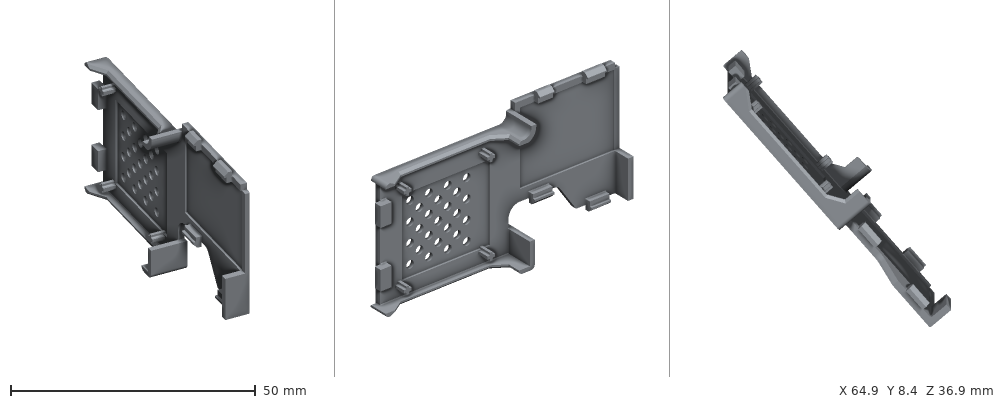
import cadquery as cq
import math

LENGTH = 64.9
DEPTH = 8.4
HEIGHT = 36.9

PLATE = 1.5
PLATE_LEFT = 1.4
NECK_X = 35.3
WING_LEFT = 37.05
WING_RIGHT = LENGTH - PLATE
WING_TOP = 35.75
WING_BOTTOM = 5.1
NECK_BOTTOM = 12.15
NECK_FILLET = 3.0
RAMP_FILLET = 2.0
RAMP_TOP_X = 48.4
RAMP_FOOT_X = 53.15
FOOT = 0.2
BACK_CHAMFER = 0.25

SIDE_TOP = 31.3
SIDE = 1.05
TURN = 1.3
TIP_DEPTH = 5.0
WAIST_DEPTH = 2.9
TIP_END_X = 2.4
WAIST_LEFT = 5.7
WAIST_RIGHT = 29.3
DEEP_X = 32.45
RIM_BEVEL = 0.6
END_FILLET = 1.0
BEND_RADIUS = 1.95
BEND_X = 33.75
BEND_Z = SIDE_TOP + BEND_RADIUS
BEND_TOP = 33.8
CORNER_X = 36.6
CORNER_TOP = 6.8

END_WALL_DEPTH = 5.7
END_WALL_TOP = 15.05
STRIP = 1.2
STRIP_TOP = 34.2

RECESS = 0.5
GRILLE_LEFT, GRILLE_RIGHT = 7.15, 30.4
GRILLE_BOTTOM, GRILLE_TOP = 4.7, 24.85
WINDOW_LEFT = 38.35

HOLE_DIAMETER = 2.0
HOLE_PITCH = 5.0
HOLE_X, HOLE_Z = 9.75, 7.4
HOLE_ROWS = 7
HOLES_PER_LONG_ROW = 4

POST_SPAN = 2.0
POST_ARM = 0.7
POST_FILLET = 0.25
POST_DEPTH = 4.35
POST_X = (6.35, 28.4)
POST_Z = (4.0, 27.25)

TAB_LENGTH = 2.9
TAB_WIDTH = 5.05
TAB_DEPTH = 3.4
TAB_BOTTOMS = (5.6, 20.5)

CLIP_HEIGHT = 2.5
CLIP_STEM_DEPTH = 2.8
CLIP_DEPTH = 3.4
CLIP_TOP_DEPTH = 2.4
TOP_STEM_END = HEIGHT - CLIP_HEIGHT

CLIPS = (
    (42.05, 45.95, TOP_STEM_END, 1.35, 0.3, 1),
    (54.7, 59.7, TOP_STEM_END, 1.35, 0.3, 1),
    (40.7, 45.9, 13.55, 1.05, 0.5, -1),
    (55.7, 60.9, 6.5, 1.25, 0.5, -1),
)


def rise(sketch, start, end):
    """Extrude an XZ outline from depth start to depth end."""
    return sketch.extrude(end - start).translate((0, -start, 0))


def rectangle(x0, x1, z0, z1):
    return cq.Workplane("XZ").center((x0 + x1) / 2, (z0 + z1) / 2).rect(x1 - x0, z1 - z0)


def block(x0, x1, z0, z1, start, end):
    return rise(rectangle(x0, x1, z0, z1), start, end)


def foot(outline):
    """Chamfered foot around an XZ outline standing on the plate, trimmed at the plate edge."""
    skirt = outline.extrude(-FOOT, taper=-45).translate((0, -PLATE - FOOT, 0))
    return skirt.intersect(rise(plate_outline(), PLATE, PLATE + FOOT))


def box_foot(x0, x1, z0, z1):
    return foot(rectangle(x0, x1, z0, z1))


def plate_outline():
    mid_radius = BEND_RADIUS + TURN / 2
    mid_z = BEND_Z - mid_radius
    diagonal = mid_radius * math.sqrt(0.5)
    bend_end_z = (BEND_Z + BEND_TOP) / 2
    corner_mid_x = CORNER_X - TURN / 2
    corner_mid_z = CORNER_TOP - TURN / 2

    ramp_angle = math.atan2(NECK_BOTTOM - WING_BOTTOM, RAMP_FOOT_X - RAMP_TOP_X)
    half = ramp_angle / 2
    tangent = RAMP_FILLET * math.tan(half)
    ramp_end = (
        RAMP_TOP_X + tangent * math.cos(ramp_angle),
        NECK_BOTTOM - tangent * math.sin(ramp_angle),
    )
    ramp_mid = (
        RAMP_TOP_X - tangent + RAMP_FILLET * math.sin(half),
        NECK_BOTTOM - RAMP_FILLET * (1 - math.cos(half)),
    )
    return (
        cq.Workplane("XZ")
        .moveTo(PLATE_LEFT, SIDE / 2)
        .lineTo(PLATE_LEFT, mid_z)
        .lineTo(BEND_X, mid_z)
        .threePointArc((BEND_X + diagonal, BEND_Z - diagonal), (BEND_X + mid_radius, BEND_Z))
        .lineTo(BEND_X + mid_radius, bend_end_z)
        .lineTo(WING_LEFT, bend_end_z)
        .lineTo(WING_LEFT, WING_TOP)
        .lineTo(WING_RIGHT, WING_TOP)
        .lineTo(WING_RIGHT, WING_BOTTOM)
        .lineTo(RAMP_FOOT_X, WING_BOTTOM)
        .lineTo(*ramp_end)
        .threePointArc(ramp_mid, (RAMP_TOP_X - tangent, NECK_BOTTOM))
        .lineTo(NECK_X + NECK_FILLET, NECK_BOTTOM)
        .radiusArc((NECK_X, NECK_BOTTOM - NECK_FILLET), -NECK_FILLET)
        .lineTo(NECK_X, corner_mid_z)
        .lineTo(corner_mid_x, corner_mid_z)
        .lineTo(corner_mid_x, SIDE / 2)
        .close()
    )


def top_wall_outline():
    outer = BEND_RADIUS + TURN
    inner_z = SIDE_TOP - SIDE
    inner_x = BEND_X + math.sqrt(outer**2 - (BEND_Z - inner_z) ** 2)
    return (
        cq.Workplane("XZ")
        .moveTo(0, inner_z)
        .lineTo(0, SIDE_TOP - END_FILLET)
        .radiusArc((END_FILLET, SIDE_TOP), END_FILLET)
        .lineTo(BEND_X, SIDE_TOP)
        .radiusArc((BEND_X + BEND_RADIUS, BEND_Z), -BEND_RADIUS)
        .lineTo(BEND_X + BEND_RADIUS, BEND_TOP)
        .lineTo(BEND_X + outer, BEND_TOP)
        .lineTo(BEND_X + outer, BEND_Z)
        .radiusArc((inner_x, inner_z), outer)
        .close()
    )


def bottom_wall_outline():
    return (
        cq.Workplane("XZ")
        .moveTo(0, SIDE)
        .lineTo(CORNER_X - TURN, SIDE)
        .lineTo(CORNER_X - TURN, CORNER_TOP)
        .lineTo(CORNER_X, CORNER_TOP)
        .lineTo(CORNER_X, END_FILLET)
        .radiusArc((CORNER_X - END_FILLET, 0), END_FILLET)
        .lineTo(END_FILLET, 0)
        .radiusArc((0, END_FILLET), END_FILLET)
        .close()
    )


def stand_wall(outline, outer_z):
    """Full-depth wall with its back edge chamfered all along the smooth outer side."""
    outer_edge = cq.selectors.NearestToPointSelector((LENGTH / 4, 0, outer_z))
    return rise(outline, 0, DEPTH).edges(outer_edge).chamfer(BACK_CHAMFER)


def rim_cutter():
    """Shapes the rim of a wall whose outer face is Z = 0 and bevels the rim's outer edge."""
    reach = DEPTH + SIDE
    slope_run = (WAIST_LEFT - TIP_END_X) / (TIP_DEPTH - WAIST_DEPTH)
    profile = [
        (TIP_END_X - slope_run * (reach - TIP_DEPTH), -reach),
        (WAIST_LEFT, -WAIST_DEPTH),
        (WAIST_RIGHT, -WAIST_DEPTH),
        (DEEP_X, -TIP_DEPTH),
        (DEEP_X, -reach),
    ]
    opening = cq.Workplane("XY").polyline(profile).close().extrude(SIDE)
    bevel = cq.Workplane("XY").polyline(profile).close().offset2D(RIM_BEVEL, "intersection")
    bevel = bevel.extrude(RIM_BEVEL, taper=45)
    tip = block(-SIDE, WAIST_LEFT, 0, SIDE, TIP_DEPTH, reach)
    return opening.union(bevel).union(tip)


def clip(x0, x1, stem_end, barb, barb_land, direction):
    """Snap clip reaching along Z in the given direction, with its barb toward -Y."""
    profile = [
        (PLATE, 0),
        (CLIP_STEM_DEPTH, 0),
        (CLIP_STEM_DEPTH, barb),
        (CLIP_DEPTH, barb),
        (CLIP_DEPTH, barb + barb_land),
        (CLIP_TOP_DEPTH, CLIP_HEIGHT),
        (PLATE, CLIP_HEIGHT),
    ]
    points = [(-depth, stem_end + direction * along) for depth, along in profile]
    body = cq.Workplane("YZ").polyline(points).close().extrude(x1 - x0).translate((x0, 0, 0))
    z0, z1 = sorted((stem_end, stem_end + direction * CLIP_HEIGHT))
    return body.union(box_foot(x0, x1, z0, z1))


def post(x, z):
    """Cross-shaped post with rounded inner corners."""
    floor = PLATE - RECESS
    span = POST_SPAN / 2
    arm = POST_ARM / 2
    cross = block(-span, span, -arm, arm, floor, POST_DEPTH)
    cross = cross.union(block(-arm, arm, -span, span, floor, POST_DEPTH))
    half = (arm + span) / 2
    inner_corners = cq.selectors.BoxSelector((-half, -DEPTH, -half), (half, 0, half))
    return cross.edges("|Y").edges(inner_corners).fillet(POST_FILLET).translate((x, 0, z))


part = rise(plate_outline(), 0, PLATE)
part = part.cut(block(GRILLE_LEFT, GRILLE_RIGHT, GRILLE_BOTTOM, GRILLE_TOP, PLATE - RECESS, PLATE))
part = part.cut(block(WINDOW_LEFT, WING_RIGHT, END_WALL_TOP, STRIP_TOP, PLATE - RECESS, PLATE))

hole_centers = []
for row in range(HOLE_ROWS):
    shifted = row % 2
    for column in range(HOLES_PER_LONG_ROW - shifted):
        hole_centers.append((HOLE_X + HOLE_PITCH * (column + shifted / 2), HOLE_Z + HOLE_PITCH * row / 2))
part = part.cut(rise(cq.Workplane("XZ").pushPoints(hole_centers).circle(HOLE_DIAMETER / 2), 0, PLATE))

bottom_cutter = rim_cutter()
top_cutter = bottom_cutter.mirror("XY").translate((0, 0, SIDE_TOP))
part = part.union(stand_wall(bottom_wall_outline(), 0).cut(bottom_cutter))
part = part.union(foot(bottom_wall_outline()))
part = part.union(stand_wall(top_wall_outline(), SIDE_TOP).cut(top_cutter))
part = part.union(foot(top_wall_outline()))

right_end = block(WING_RIGHT, LENGTH, WING_BOTTOM, END_WALL_TOP, 0, END_WALL_DEPTH)
right_end = right_end.union(block(WING_RIGHT, LENGTH, WING_BOTTOM, STRIP_TOP, 0, STRIP))
right_end = right_end.edges(">X and >Y").chamfer(BACK_CHAMFER)
part = part.union(right_end).union(box_foot(WING_RIGHT, LENGTH, WING_BOTTOM, END_WALL_TOP))

for tab_bottom in TAB_BOTTOMS:
    tab_top = tab_bottom + TAB_WIDTH
    part = part.union(block(0, TAB_LENGTH, tab_bottom, tab_top, PLATE, TAB_DEPTH))
    part = part.union(box_foot(0, TAB_LENGTH, tab_bottom, tab_top))

for post_x in POST_X:
    for post_z in POST_Z:
        part = part.union(post(post_x, post_z))

for clip_sizes in CLIPS:
    part = part.union(clip(*clip_sizes))

result = part